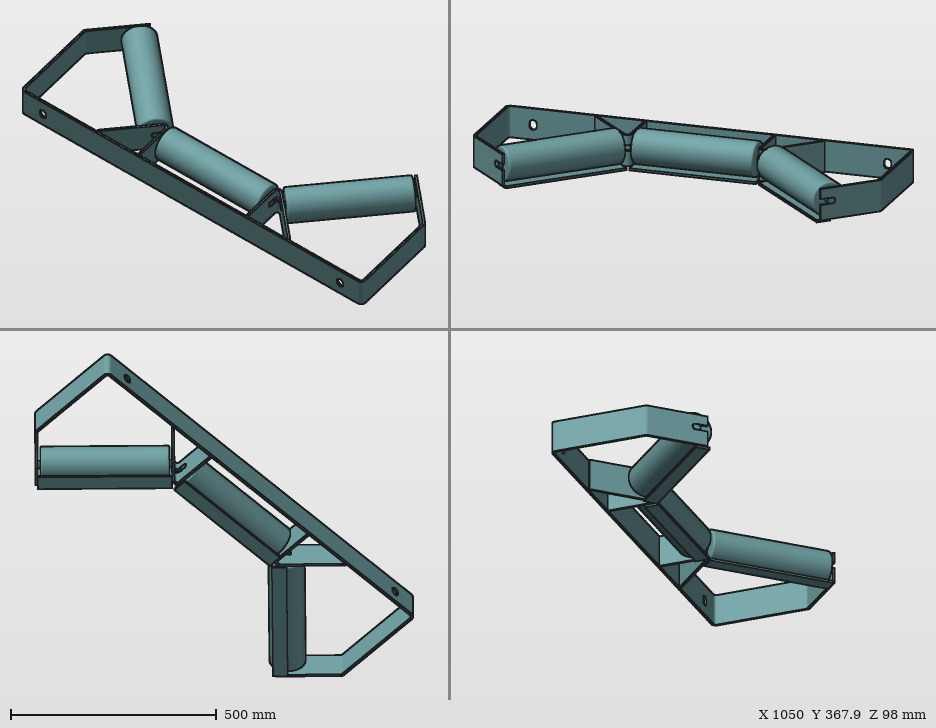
import cadquery as cq
import math


sheet = 6.0
bend_radius = 13.0
trough_angle = 45

roller_radius = 89.0 / 2
roller_length = 315
roller_fillet = 5.0
end_gap = 5.8
shaft_radius = 10.0
flat_height = 14.0
center_y = 101.0
wing_x = 311.0
wing_y = 227.0

guard_width = 36.0

frame_length = 1050
frame_height = 80.0
roller_rise = 12.0
arm_tip = 28.0
hole_width = 19.0
hole_height = 25.0
hole_x = 457.0
hole_drop = 2.0

slot_height = 16.0
slot_end = 12.0
slot_reach = 84
slot_depth = 21

frame_bottom = sheet
frame_middle = frame_bottom + frame_height / 2
hole_z = frame_middle - hole_drop
axis_z = frame_bottom + frame_height + roller_rise - roller_radius
sheet_face = roller_length / 2 + end_gap
guard_length = 2 * sheet_face
shaft_length = 2 * (sheet_face + sheet)
slope_cos = math.cos(math.radians(trough_angle))
slope_sin = math.sin(math.radians(trough_angle))


def at_center(body):
    """Move a body modelled along X at the origin to the center roller's place."""
    return body.translate((0, center_y, 0))


def at_left_wing(body):
    """Move a body modelled along X at the origin to the left wing roller's place."""
    return body.rotate((0, 0, 0), (0, 0, 1), -trough_angle).translate((-wing_x, wing_y, 0))


def at_right_wing(body):
    """Mirror image of the left wing place."""
    return at_left_wing(body).mirror("YZ")


def left_wing_point(along, across):
    """Plan position of a point given along and across the left wing roller's axis."""
    return (
        -wing_x + along * slope_cos + across * slope_sin,
        wing_y - along * slope_sin + across * slope_cos,
    )


def bent_strip(outer, inner):
    """Upright strip between two matching polylines, rounded at every inside point of both."""
    strip = (
        cq.Workplane("XY")
        .workplane(offset=frame_bottom)
        .polyline(outer + inner[::-1])
        .close()
        .extrude(frame_height)
    )
    for corners, radius in ((outer, bend_radius), (inner, bend_radius - sheet)):
        for x, y in corners[1:-1]:
            bend = cq.selectors.NearestToPointSelector((x, y, frame_middle))
            strip = strip.edges("|Z").edges(bend).fillet(radius)
    return strip


def shaft_slot(end):
    """Cutter for the slot at one end (-1 or 1) of a roller along X, open toward +Y and rounded at the bottom."""
    start = sheet_face if end > 0 else -sheet_face - slot_depth
    round_y = slot_height / 2 - slot_end
    bottom = cq.Workplane("YZ").center(round_y, axis_z).circle(slot_height / 2).extrude(slot_depth)
    channel = cq.Workplane("XY").box(slot_depth, slot_reach, slot_height, centered=(False, False, True))
    return bottom.union(channel.translate((0, round_y, axis_z))).translate((start, 0, 0))


def make_frame():
    half = frame_length / 2

    def left_path(inset):
        arm_along = -(sheet_face + sheet - inset)
        tip_x, tip_y = left_wing_point(arm_along, arm_tip)
        side_x = -half + inset
        return [(tip_x, tip_y), (side_x, tip_y - (tip_x - side_x) * slope_cos / slope_sin), (side_x, inset)]

    def whole_path(inset):
        left = left_path(inset)
        return left + [(-x, y) for x, y in left[::-1]]

    frame = bent_strip(whole_path(0), whole_path(sheet))
    slot = at_left_wing(shaft_slot(-1))
    holes = (
        cq.Workplane("XZ")
        .pushPoints([(-hole_x, hole_z), (hole_x, hole_z)])
        .slot2D(hole_height, hole_width, 90)
        .extrude(-2 * sheet)
    )
    return frame.cut(holes).cut(slot).cut(slot.mirror("YZ"))


def make_left_bracket():
    def path(inset):
        leg_x = -sheet_face - inset
        line_x, line_y = left_wing_point(sheet_face + inset, 0)
        fold_y = line_y + (leg_x - line_x) * slope_cos / slope_sin
        end_y = sheet + (sheet - inset) * slope_sin
        end_x = line_x - (line_y - end_y) * slope_sin / slope_cos
        return [(leg_x, sheet), (leg_x, fold_y), (end_x, end_y)]

    bracket = bent_strip(path(0), path(sheet))
    return bracket.cut(at_center(shaft_slot(-1))).cut(at_left_wing(shaft_slot(1)))


def make_roller():
    barrel = (
        cq.Workplane("YZ")
        .workplane(offset=-roller_length / 2)
        .center(0, axis_z)
        .circle(roller_radius)
        .extrude(roller_length)
        .edges()
        .fillet(roller_fillet)
    )
    shaft = (
        cq.Workplane("YZ")
        .workplane(offset=-shaft_length / 2)
        .center(0, axis_z)
        .circle(shaft_radius)
        .extrude(shaft_length)
    )
    round_part = cq.Workplane("XY").box(guard_length, 2 * shaft_radius, 2 * shaft_radius)
    flat_part = cq.Workplane("XY").box(shaft_length, 2 * shaft_radius, flat_height)
    envelope = round_part.union(flat_part).translate((0, 0, axis_z))
    return barrel.union(shaft.intersect(envelope))


def make_guard():
    return cq.Workplane("XY").box(guard_length, guard_width, sheet, centered=(True, False, False))


frame = make_frame()
left_bracket = make_left_bracket()
brackets = [left_bracket, left_bracket.mirror("YZ")]
places = (at_left_wing, at_center, at_right_wing)
rollers = [place(make_roller()) for place in places]
guards = [place(make_guard()) for place in places]

result = cq.Compound.makeCompound([body.val() for body in [frame, *brackets, *rollers, *guards]])